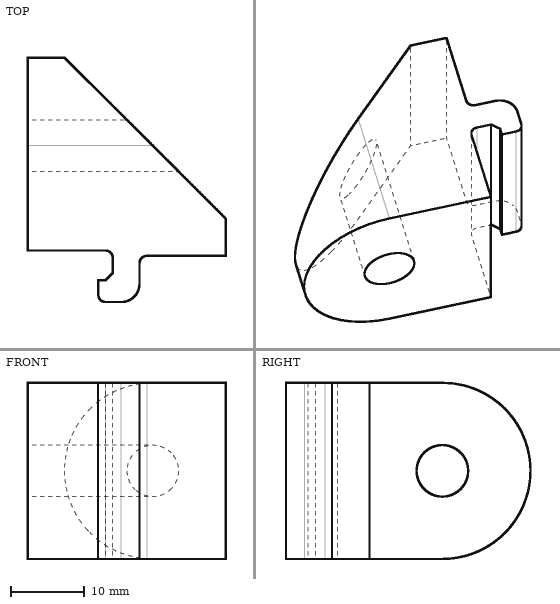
import cadquery as cq

width = 27.0
length = 33.3
height = 24.0
round_radius = height / 2
hole_diameter = 7.0
hole_y = length - round_radius

rear_width = 5.03
side_end_y = 11.35

left_front_y = 7.03
right_front_y = 6.3

lip_x = 9.62
neck_left_x = 11.6
neck_right_x = 15.25
lip_top_y = 3.0
lip_chamfer = 1.0
small_radius = 1.0
hook_radius = 2.5


def build_body():
    """Plan outline of the block and hook, extruded over the full height."""
    outline = [
        (0, length),
        (0, left_front_y),
        (neck_left_x, left_front_y),
        (neck_left_x, lip_top_y + lip_chamfer),
        (neck_left_x - lip_chamfer, lip_top_y),
        (lip_x, lip_top_y),
        (lip_x, 0),
        (neck_right_x, 0),
        (neck_right_x, right_front_y),
        (width, right_front_y),
        (width, side_end_y),
        (rear_width, length),
    ]
    return cq.Workplane("XY").polyline(outline).close().extrude(height)


def vertical_edge(x, y):
    """Selector for the vertical edge through a plan point."""
    reach = small_radius / 10
    return cq.selectors.BoxSelector(
        (x - reach, y - reach, 0), (x + reach, y + reach, height)
    )


def round_hook(body):
    """Round the hook's outer bend and tip, and the corners where its neck meets the block."""
    small_corners = [
        (neck_left_x, left_front_y),
        (lip_x, 0),
        (neck_right_x, right_front_y),
    ]
    for x, y in small_corners:
        body = body.edges(vertical_edge(x, y)).fillet(small_radius)
    return body.edges(vertical_edge(neck_right_x, 0)).fillet(hook_radius)


def build_side_envelope():
    """Side profile with a half-round rear end, extended across the width."""
    return (
        cq.Workplane("YZ")
        .moveTo(0, 0)
        .lineTo(hole_y, 0)
        .threePointArc((length, height / 2), (hole_y, height))
        .lineTo(0, height)
        .close()
        .extrude(width)
    )


def build_hole():
    """Through hole along X, concentric with the rounded rear end."""
    return (
        cq.Workplane("YZ")
        .center(hole_y, height / 2)
        .circle(hole_diameter / 2)
        .extrude(width)
    )


result = round_hook(build_body()).intersect(build_side_envelope()).cut(build_hole())